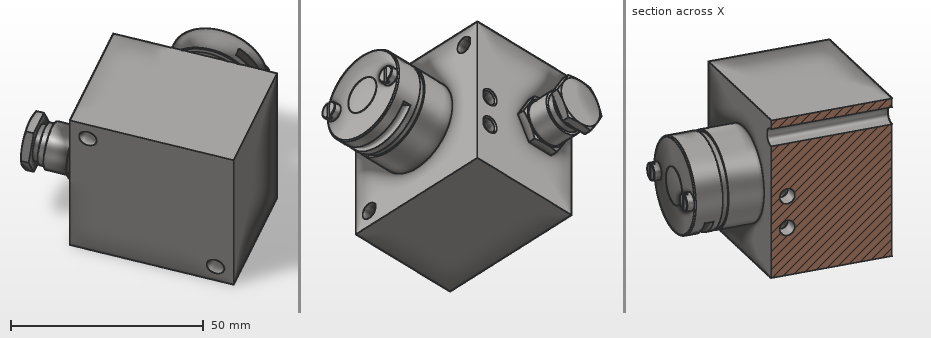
import cadquery as cq
import math

BLOCK_SIDE = 45.0
BLOCK_DEPTH = 34.25
HALF_SIDE = BLOCK_SIDE / 2

MOUNT_HOLE_DIAMETER = 4.8
MOUNT_HOLE_INSET = 5.0

PORT_DIAMETER = 4.15
PORT_MOUTH_DIAMETER = 5.0
PORT_DEPTH = 9.0
PORT_INSET = 4.55
PORT_PITCH = 9.0
PORT_TIP_ANGLE = 118.0

HOUSING_DIAMETER = 26.5
HOUSING_HEIGHT = 19.6
HOUSING_CHAMFER = 0.35
PAD_DIAMETER = 10.4
PAD_THICKNESS = 0.1
GROOVE_DIAMETER = 25.5
GROOVE_BOTTOM = 10.0
GROOVE_TOP = 11.7
SLOT_FLOOR_DIAMETER = 16.55
SLOT_BOTTOM = 13.5
SLOT_TOP = 16.0
SLOT_START_ANGLE = -150.7
SLOT_SWEEP = 211.4

SCREW_TOTAL_HEIGHT = 21.7
SCREW_OFFSET = 10.5
SCREW_BASE_DIAMETER = 5.0
SCREW_TOP_DIAMETER = 4.8
SCREW_CHAMFER = 0.2
SCREW_SLOT_WIDTH = 0.7
SCREW_SLOT_DEPTH = 1.1

GLAND_LENGTH = 15.0
GLAND_Y = 11.5
NUT_FLATS = 14.0
NUT_THICKNESS = 2.5
NUT_CHAMFER = 0.4
BODY_DIAMETER = 13.0
BODY_END = 8.95
COLLAR_DIAMETER = 11.5
COLLAR_END = 10.8
NECK_DIAMETER = 10.0


def y_disc(diameter, start, end, x=0, z=0):
    """Cylinder along +Y between two distances from the back of the block."""
    origin = (x, BLOCK_DEPTH + start, z)
    plane = cq.Plane(origin=origin, xDir=(1, 0, 0), normal=(0, 1, 0))
    return cq.Workplane(plane).circle(diameter / 2).extrude(end - start)


def side_plane(distance):
    """Plane on the gland axis, facing -X, at a distance outside the -X face."""
    origin = (-HALF_SIDE - distance, GLAND_Y, 0)
    return cq.Workplane(cq.Plane(origin=origin, xDir=(0, 1, 0), normal=(-1, 0, 0)))


def make_block():
    block = cq.Workplane("XY").box(BLOCK_SIDE, BLOCK_DEPTH, BLOCK_SIDE, centered=(True, False, True))
    offset = HALF_SIDE - MOUNT_HOLE_INSET
    for x, z in ((-offset, offset), (offset, -offset)):
        block = block.cut(y_disc(MOUNT_HOLE_DIAMETER, -BLOCK_DEPTH, 0, x, z))
    for z in (0, -PORT_PITCH):
        block = block.cut(make_port(BLOCK_DEPTH - PORT_INSET, z))
    return block


def make_port(y, z):
    """Drilled volume with a conical bottom and a 45 degree countersink."""
    radius = PORT_DIAMETER / 2
    mouth = PORT_MOUTH_DIAMETER / 2
    tip = radius / math.tan(math.radians(PORT_TIP_ANGLE / 2))
    profile = [
        (0, 0),
        (0, mouth),
        (mouth - radius, radius),
        (PORT_DEPTH, radius),
        (PORT_DEPTH + tip, 0),
    ]
    drill = cq.Workplane("XY").polyline(profile).close().revolve(360, (0, 0, 0), (1, 0, 0))
    return drill.translate((-HALF_SIDE, y, z))


def make_housing():
    housing = y_disc(HOUSING_DIAMETER, 0, HOUSING_HEIGHT).faces(">Y").chamfer(HOUSING_CHAMFER)
    groove = y_disc(HOUSING_DIAMETER, GROOVE_BOTTOM, GROOVE_TOP)
    groove = groove.cut(y_disc(GROOVE_DIAMETER, GROOVE_BOTTOM, GROOVE_TOP))
    pad = y_disc(PAD_DIAMETER, HOUSING_HEIGHT, HOUSING_HEIGHT + PAD_THICKNESS)
    return housing.cut(groove).cut(make_arc_slot()).union(pad)


def make_arc_slot():
    """Part-turn groove, open over the quarter between +X and -Z and beyond."""
    floor = SLOT_FLOOR_DIAMETER / 2
    rim = HOUSING_DIAMETER / 2 + 0.6
    section = cq.Workplane("XY").moveTo(floor, BLOCK_DEPTH + SLOT_BOTTOM)
    section = section.lineTo(rim, BLOCK_DEPTH + SLOT_BOTTOM)
    section = section.lineTo(rim, BLOCK_DEPTH + SLOT_TOP)
    section = section.lineTo(floor, BLOCK_DEPTH + SLOT_TOP).close()
    sweep = section.revolve(SLOT_SWEEP, (0, 0, 0), (0, -1, 0))
    return sweep.rotate((0, 0, 0), (0, -1, 0), SLOT_START_ANGLE)


def make_screw(x):
    """Slightly tapered, bevelled head with a driver slot along Z."""
    height = SCREW_TOTAL_HEIGHT - HOUSING_HEIGHT
    top_radius = SCREW_TOP_DIAMETER / 2
    profile = [
        (0, 0),
        (SCREW_BASE_DIAMETER / 2, 0),
        (top_radius, height - SCREW_CHAMFER),
        (top_radius - SCREW_CHAMFER, height),
        (0, height),
    ]
    head = cq.Workplane("XY").polyline(profile).close().revolve(360, (0, 0, 0), (0, 1, 0))
    head = head.translate((x, BLOCK_DEPTH + HOUSING_HEIGHT, 0))
    slot = cq.Workplane("XY").box(SCREW_SLOT_WIDTH, 2 * SCREW_SLOT_DEPTH, 2 * SCREW_BASE_DIAMETER)
    return head.cut(slot.translate((x, BLOCK_DEPTH + SCREW_TOTAL_HEIGHT, 0)))


def make_nut(start):
    """Hexagon nut with its outer corners turned down to the flats."""
    corners = NUT_FLATS / math.cos(math.radians(30))
    nut = side_plane(start).polygon(6, corners).extrude(NUT_THICKNESS)
    envelope = side_plane(start).circle(corners / 2).extrude(NUT_THICKNESS)
    rim_step = (corners - NUT_FLATS) / 2
    envelope = envelope.faces("<X").edges().chamfer(NUT_CHAMFER, rim_step)
    return nut.intersect(envelope)


def make_gland():
    gland = make_nut(0).union(make_nut(GLAND_LENGTH - NUT_THICKNESS))
    sections = (
        (BODY_DIAMETER, NUT_THICKNESS, BODY_END),
        (COLLAR_DIAMETER, BODY_END, COLLAR_END),
        (NECK_DIAMETER, COLLAR_END, GLAND_LENGTH - NUT_THICKNESS),
    )
    for diameter, start, end in sections:
        gland = gland.union(side_plane(start).circle(diameter / 2).extrude(end - start))
    return gland


result = make_block().union(make_housing()).union(make_gland())
for screw_x in (-SCREW_OFFSET, SCREW_OFFSET):
    result = result.union(make_screw(screw_x))